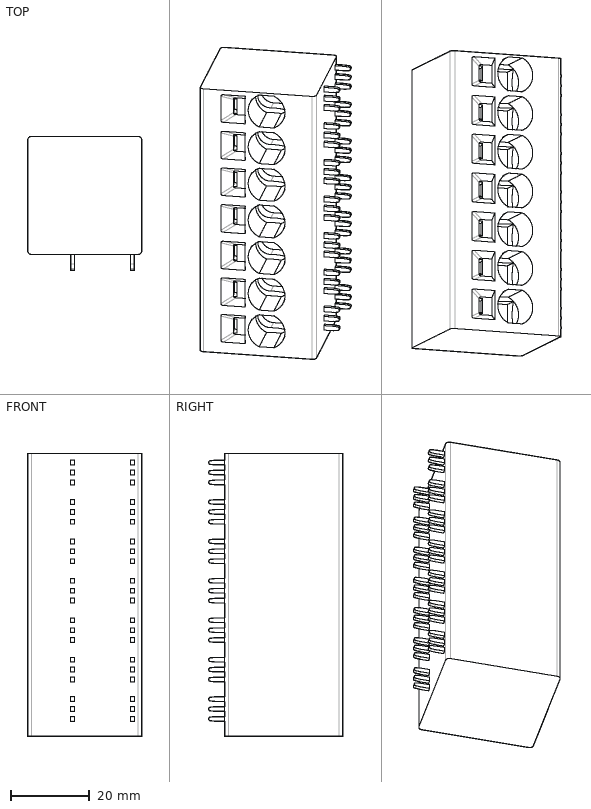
import cadquery as cq

width = 29.0
depth = 30.0
height = 71.8
corner_radius = 1.0

pole_count = 7
end_plate = 1.8
pole_pitch = (height - end_plate) / pole_count

bore_y = -2.3
bore_radius = 4.75
bore_height = 8.7
bore_depth = 10.05
seat_depth = 0.9
seat_step = 1.6
hole_height = 6.6
hole_low_y = -5.6
hole_high_y = 1.95
hole_depth = 14.35

funnel_low_y = 3.2
funnel_length = 6.25
funnel_height = 7.55
funnel_corner = 0.7
funnel_depth = 2.15
floor_length = 3.45
floor_height = 4.6

slot_width = 0.9
slot_mouth_height = 3.9
slot_bottom_height = 2.7
slot_depth = 1.45
slot_shallow_depth = 1.1

pin_length = 4.0
pin_width = 1.0
pin_height = 1.2
pin_tip_height = 1.0
pin_taper_start = 2.45
pin_spacing = 2.5
pins_per_pole = 3
pin_columns = (-3.1, 12.05)
pin_rise = 0.15
pin_root = 0.7

face_x = -width / 2
pin_face_y = -depth / 2


def pole_z(index):
    return height - (index + 0.5) * pole_pitch


def housing():
    block = cq.Workplane("XY").box(width, depth, height, centered=(True, True, False))
    return block.edges("|Z").fillet(corner_radius)


def inward_plane(inset, y, z):
    """Plane parallel to the -X face, its normal pointing into the housing and its x axis along +Y."""
    return cq.Workplane(cq.Plane((face_x + inset, y, z), xDir=(0, 1, 0), normal=(1, 0, 0)))


def round_opening(z):
    bore = inward_plane(0, bore_y, z).circle(bore_radius).extrude(bore_depth)
    seat = (
        inward_plane(bore_depth, bore_y, z)
        .circle(bore_radius)
        .workplane(offset=seat_depth)
        .circle(bore_radius - seat_step)
        .loft(ruled=True)
    )
    flats = inward_plane(0, bore_y, z).rect(2 * bore_radius, bore_height).extrude(bore_depth + seat_depth)
    half = hole_height / 2
    arc_y = hole_high_y - half
    hole = (
        inward_plane(bore_depth, 0, z)
        .moveTo(hole_low_y, -half)
        .lineTo(arc_y, -half)
        .threePointArc((hole_high_y, 0), (arc_y, half))
        .lineTo(hole_low_y, half)
        .close()
        .extrude(hole_depth - bore_depth)
    )
    return bore.union(seat).intersect(flats).union(hole)


def funnel(z):
    floor_shift = (floor_length - funnel_length) / 2
    body = (
        inward_plane(0, funnel_low_y + funnel_length / 2, z)
        .rect(funnel_length, funnel_height)
        .workplane(offset=funnel_depth)
        .center(floor_shift, 0)
        .rect(floor_length, floor_height)
        .loft(ruled=True)
    )
    return body.edges("not #X").edges(">Y").fillet(funnel_corner)


def slot(z):
    high_y = funnel_low_y + floor_length
    low_y = high_y - slot_width
    floor_x = face_x + funnel_depth
    wedge = (
        cq.Workplane("XY", origin=(floor_x, 0, z))
        .polyline([(0, low_y), (0, high_y), (slot_depth, high_y), (slot_shallow_depth, low_y)])
        .close()
        .extrude(slot_mouth_height / 2, both=True)
    )
    sloping_ends = (
        inward_plane(funnel_depth, high_y - slot_width / 2, z)
        .rect(slot_width, slot_mouth_height)
        .workplane(offset=slot_depth)
        .rect(slot_width, slot_bottom_height)
        .loft(ruled=True)
    )
    return wedge.intersect(sloping_ends)


def pin(x, z):
    tip_radius = pin_tip_height / 2
    half = pin_height / 2
    tip_start = pin_length - tip_radius
    profile = (
        cq.Workplane(cq.Plane((x, pin_face_y, z), xDir=(0, -1, 0), normal=(1, 0, 0)))
        .moveTo(-pin_root, -half)
        .lineTo(pin_taper_start, -half)
        .lineTo(tip_start, -tip_radius)
        .threePointArc((pin_length, 0), (tip_start, tip_radius))
        .lineTo(pin_taper_start, half)
        .lineTo(-pin_root, half)
        .close()
    )
    return profile.extrude(pin_width / 2, both=True)


result = housing()
for index in range(pole_count):
    z = pole_z(index)
    result = result.cut(round_opening(z)).cut(funnel(z)).cut(slot(z))
    for row in range(pins_per_pole):
        pin_z = z + pin_rise - (row - (pins_per_pole - 1) / 2) * pin_spacing
        for column_x in pin_columns:
            result = result.union(pin(column_x, pin_z))